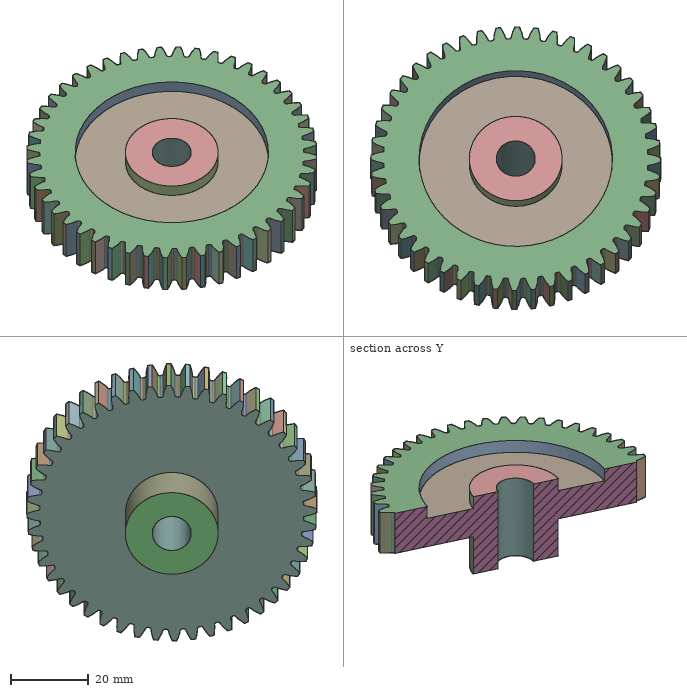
import cadquery as cq
import math

module = 1.5
tooth_count = 48
pressure_angle = math.radians(20)
addendum = module
dedendum = 1.25 * module
root_fillet = 0.38 * module

face_width = 12.0
total_height = 23.0
hub_diameter = 24.0
bore_diameter = 10.0
recess_diameter = 50.0
recess_depth = 3.5

pitch_radius = module * tooth_count / 2
tip_radius = pitch_radius + addendum
root_radius = pitch_radius - dedendum
base_radius = pitch_radius * math.cos(pressure_angle)
tooth_pitch_angle = 2 * math.pi / tooth_count
hub_length = total_height - face_width

flank_points = 5
selection_margin = 0.01


def involute(angle):
    return math.tan(angle) - angle


def half_tooth_angle(radius):
    """Half of the angle that an involute tooth spans at a radius."""
    local_pressure_angle = math.acos(base_radius / radius)
    return tooth_pitch_angle / 4 + involute(pressure_angle) - involute(local_pressure_angle)


def polar(radius, angle):
    return (radius * math.cos(angle), radius * math.sin(angle))


def flank(center_angle, side):
    """Points from root to tip along one flank; side is -1 or +1."""
    step = (tip_radius - root_radius) / (flank_points - 1)
    radii = [root_radius + step * i for i in range(flank_points)]
    return [polar(r, center_angle + side * half_tooth_angle(r)) for r in radii]


def make_toothed_disc():
    """Spur gear disc with a tooth gap centred on each of the X and Y axes."""
    first_tooth_angle = tooth_pitch_angle / 2
    outline = cq.Workplane("XY").moveTo(*flank(first_tooth_angle, -1)[0])
    for tooth in range(tooth_count):
        tooth_angle = first_tooth_angle + tooth * tooth_pitch_angle
        gap_angle = tooth_angle + tooth_pitch_angle / 2
        rising = flank(tooth_angle, -1)
        falling = flank(tooth_angle, 1)[::-1]
        next_root = flank(tooth_angle + tooth_pitch_angle, -1)[0]
        outline = outline.spline(rising[1:], includeCurrent=True)
        outline = outline.threePointArc(polar(tip_radius, tooth_angle), falling[0])
        outline = outline.spline(falling[1:], includeCurrent=True)
        outline = outline.threePointArc(polar(root_radius, gap_angle), next_root)
    disc = outline.close().extrude(face_width)
    return disc.newObject(root_edges(disc)).fillet(root_fillet)


def root_edges(disc):
    """Upright edges where the flanks meet the root circle."""
    upright = disc.edges("|Z").vals()
    limit = root_radius + selection_margin
    return [e for e in upright if math.hypot(e.Center().x, e.Center().y) < limit]


def make_hub():
    """Round hub below the toothed disc."""
    return cq.Workplane("XY").circle(hub_diameter / 2).extrude(-hub_length)


def make_recess():
    """Annular pocket in the top face, leaving a central boss flush with the rim."""
    ring = cq.Workplane("XY", origin=(0, 0, face_width))
    return ring.circle(recess_diameter / 2).circle(hub_diameter / 2).extrude(-recess_depth)


def make_bore():
    bore = cq.Workplane("XY", origin=(0, 0, -hub_length))
    return bore.circle(bore_diameter / 2).extrude(total_height)


result = make_toothed_disc().union(make_hub()).cut(make_recess()).cut(make_bore())